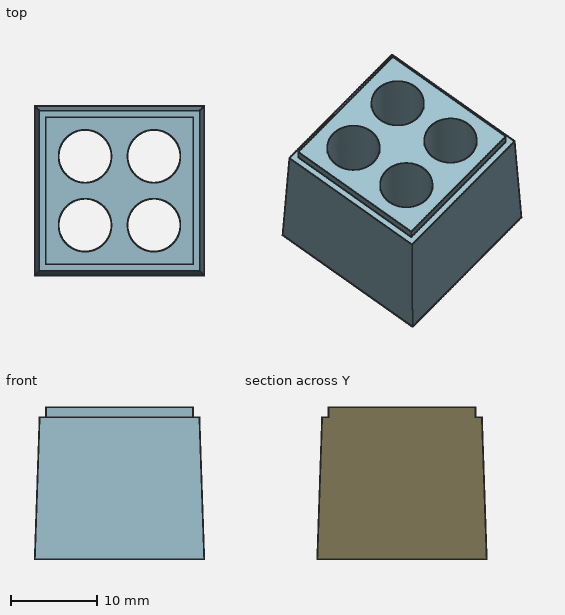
import cadquery as cq

base_width = 19.71
shoulder_width = 18.59
total_height = 17.7

step_width = 17.1
step_height = 1.16
body_height = total_height - step_height

hole_diameter = 6.11
hole_spacing = 8.0


def tapered_body():
    return (
        cq.Workplane("XY")
        .rect(base_width, base_width)
        .workplane(offset=body_height)
        .rect(shoulder_width, shoulder_width)
        .loft(ruled=True)
    )


def top_step():
    return (
        cq.Workplane("XY")
        .workplane(offset=body_height)
        .rect(step_width, step_width)
        .extrude(step_height)
    )


def through_holes():
    return (
        cq.Workplane("XY")
        .rarray(hole_spacing, hole_spacing, 2, 2)
        .circle(hole_diameter / 2)
        .extrude(total_height)
    )


result = tapered_body().union(top_step()).cut(through_holes())